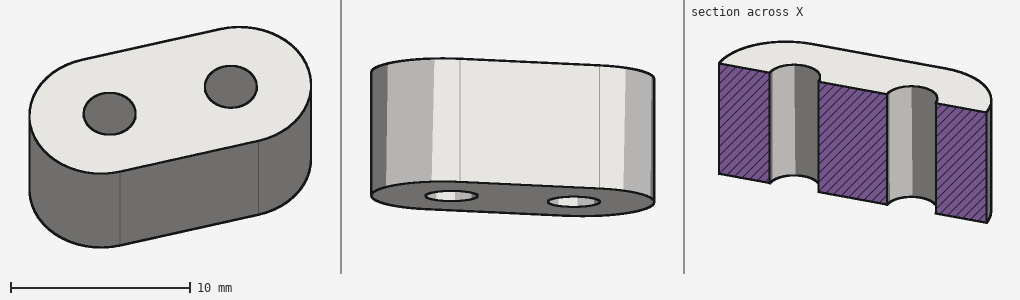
import cadquery as cq

length = 16.0
width = length / 2
height = 7.0

hole_diameter = 2.9
hole_spacing = 7.0

body = cq.Workplane("XY").slot2D(length, width, angle=90).extrude(height)

hole_centers = [(0, -hole_spacing / 2), (0, hole_spacing / 2)]
result = body.faces(">Z").workplane(origin=(0, 0, height)).pushPoints(hole_centers).hole(hole_diameter)